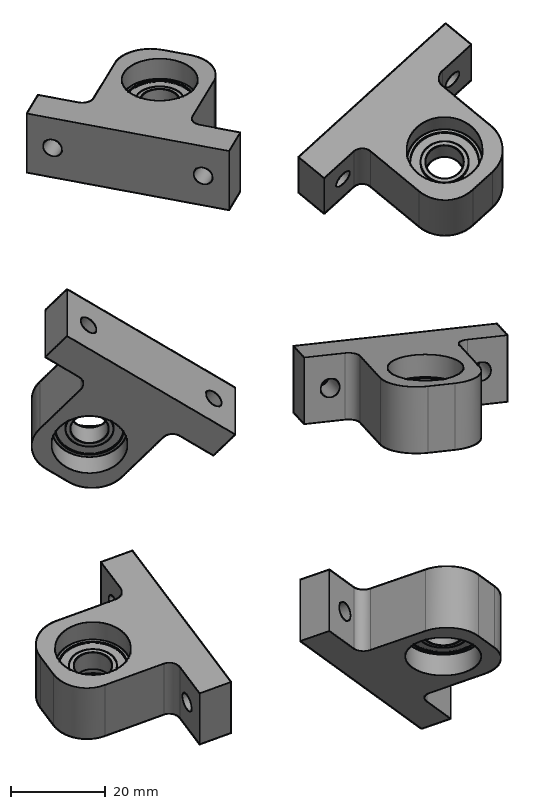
import cadquery as cq

flange_length = 45.0
flange_thickness = 7.5
housing_depth = 32.15
housing_height = 15.0
mid_height = housing_height / 2
boss_width = 22.0
boss_corner_radius = 8.0
flange_fillet_radius = 2.5
bolt_hole_diameter = 4.2
bolt_spacing = 33.5

bearing_diameter = 16.0
bearing_width = 5.0
bore_diameter = 8.0
inner_ring_diameter = 10.2
outer_ring_bore = 14.4
ring_chamfer = 0.1
shield_recess = 0.2
shield_thickness = 0.22

bearing_y = housing_depth - boss_width / 2
bearing_bottom = mid_height - bearing_width / 2
bearing_top = bearing_bottom + bearing_width


def make_tube(outer_diameter, inner_diameter, bottom, height):
    """Upright tube on the bearing axis."""
    return (
        cq.Workplane("XY", origin=(0, bearing_y, bottom))
        .circle(outer_diameter / 2)
        .circle(inner_diameter / 2)
        .extrude(height)
    )


def make_housing():
    flange = cq.Workplane("XY").box(
        flange_length, flange_thickness, housing_height, centered=(True, False, False)
    )
    boss = (
        cq.Workplane("XY")
        .box(boss_width, housing_depth, housing_height, centered=(True, False, False))
        .edges("|Z and >Y")
        .fillet(boss_corner_radius)
    )
    body = flange.union(boss)

    for corner_x in (-boss_width / 2, boss_width / 2):
        inside_corner = cq.selectors.NearestToPointSelector((corner_x, flange_thickness, mid_height))
        body = body.edges(inside_corner).fillet(flange_fillet_radius)

    bearing_bore = (
        cq.Workplane("XY", origin=(0, bearing_y, 0))
        .circle(bearing_diameter / 2)
        .extrude(housing_height)
    )

    bolt_holes = (
        cq.Workplane("XZ", origin=(0, 0, mid_height))
        .pushPoints([(-bolt_spacing / 2, 0), (bolt_spacing / 2, 0)])
        .circle(bolt_hole_diameter / 2)
        .extrude(-flange_thickness)
    )
    return body.cut(bearing_bore).cut(bolt_holes)


def make_ring(outer_diameter, inner_diameter):
    """Bearing ring with all four circular rims chamfered."""
    ring = make_tube(outer_diameter, inner_diameter, bearing_bottom, bearing_width)
    return ring.edges("%CIRCLE").chamfer(ring_chamfer)


def make_outer_ring():
    return make_ring(bearing_diameter, outer_ring_bore)


def make_inner_ring():
    return make_ring(inner_ring_diameter, bore_diameter)


def make_shield(bottom):
    """Flat annular cover that closes the gap between the two rings."""
    return make_tube(outer_ring_bore, inner_ring_diameter, bottom, shield_thickness)


housing = make_housing()
outer_ring = make_outer_ring()
inner_ring = make_inner_ring()

shield_bottoms = (
    bearing_bottom + shield_recess,
    bearing_top - shield_recess - shield_thickness,
)
shields = [make_shield(bottom).val() for bottom in shield_bottoms]

result = cq.Compound.makeCompound(
    [housing.val(), outer_ring.val(), inner_ring.val(), *shields]
)